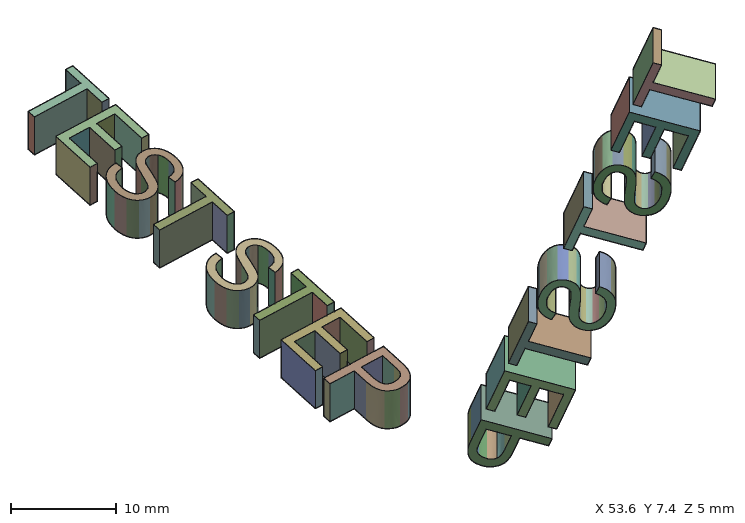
import cadquery as cq


LETTER_DEPTH = 5.0
CAP_HEIGHT = 7.15
OVERSHOOT = 0.125
STEM = 0.95
BAR = 0.85

T_WIDTH = 5.65
T_STEM_LEFT = 2.35

E_TOP_LENGTH = 5.15
E_MIDDLE_LENGTH = 4.9
E_BOTTOM_LENGTH = 5.3
E_MIDDLE_BASE = 3.25

P_WIDTH = 5.45
P_BOWL_BASE = 2.9
P_BOWL_START = 2.8
P_COUNTER_RIGHT = 4.45

S_TOP = CAP_HEIGHT + OVERSHOOT
S_BOTTOM = -OVERSHOOT
S_WIDTH = 5.7
S_UPPER_LEFT = 0.25
S_UPPER_INNER_LEFT = 1.2
S_UPPER_INNER_TOP = 6.45
S_LOWER_INNER_RIGHT = 4.75
S_LOWER_INNER_BOTTOM = 0.725

T_TO_E = 6.65
E_TO_S = 6.3
S_TO_T = 6.45
E_TO_P = 6.6
WORD_STEP = 9.05


def smooth_edge(outline, controls, end):
    """Continue an outline with quadratic curves that join midway between neighbouring controls."""
    joints = [
        ((x0 + x1) / 2, (y0 + y1) / 2)
        for (x0, y0), (x1, y1) in zip(controls, controls[1:])
    ]
    for control, joint in zip(controls, joints + [end]):
        outline = outline.bezier([control, joint], includeCurrent=True)
    return outline


def letter_t():
    """T: a stem under a full-width top bar."""
    top_bar_base = CAP_HEIGHT - BAR
    stem_right = T_STEM_LEFT + STEM
    return (
        cq.Workplane()
        .moveTo(T_STEM_LEFT, 0)
        .lineTo(stem_right, 0)
        .lineTo(stem_right, top_bar_base)
        .lineTo(T_WIDTH, top_bar_base)
        .lineTo(T_WIDTH, CAP_HEIGHT)
        .lineTo(0, CAP_HEIGHT)
        .lineTo(0, top_bar_base)
        .lineTo(T_STEM_LEFT, top_bar_base)
        .close()
        .extrude(LETTER_DEPTH)
    )


def letter_e():
    """E: a stem with three bars of different lengths."""
    body = cq.Workplane().rect(STEM, CAP_HEIGHT, centered=False).extrude(LETTER_DEPTH)
    bars = [
        (0, E_BOTTOM_LENGTH),
        (E_MIDDLE_BASE, E_MIDDLE_LENGTH),
        (CAP_HEIGHT - BAR, E_TOP_LENGTH),
    ]
    for base, length in bars:
        bar = cq.Workplane().box(length, BAR, LETTER_DEPTH, centered=False)
        body = body.union(bar.translate((0, base, 0)))
    return body


def letter_p():
    """P: a stem with a closed bowl and a through opening in the bowl."""
    outline = (
        cq.Workplane()
        .lineTo(0, CAP_HEIGHT)
        .lineTo(P_BOWL_START, CAP_HEIGHT)
    )
    outer_bowl = [
        (3.45, CAP_HEIGHT),
        (4.3, 6.95),
        (5.05, 6.5),
        (P_WIDTH, 5.65),
        (P_WIDTH, 4.2),
        (4.3, P_BOWL_BASE),
    ]
    outline = smooth_edge(outline, outer_bowl, (P_BOWL_START, P_BOWL_BASE))
    body = (
        outline
        .lineTo(STEM, P_BOWL_BASE)
        .lineTo(STEM, 0)
        .close()
        .extrude(LETTER_DEPTH)
    )

    counter_base = P_BOWL_BASE + BAR
    counter_top = CAP_HEIGHT - BAR
    counter = (
        cq.Workplane()
        .moveTo(STEM, counter_top)
        .lineTo(STEM, counter_base)
        .lineTo(P_BOWL_START, counter_base)
    )
    inner_bowl = [
        (3.7, counter_base),
        (P_COUNTER_RIGHT, 4.4),
        (P_COUNTER_RIGHT, 5.45),
        (4.0, 6.1),
        (3.45, counter_top),
    ]
    counter = smooth_edge(counter, inner_bowl, (P_BOWL_START, counter_top))
    return body.cut(counter.close().extrude(LETTER_DEPTH))


def letter_s():
    """S: a curved stroke between two flat ends, with outside and inside edges swapping at the spine."""
    lower_end_outer = (0, 2.3)
    lower_end_inner = (0.9, 2.35)
    upper_end_outer = (5.45, 5.15)
    upper_end_inner = (4.55, 5.05)
    lower_inner_to_upper_outer = [
        (0.95, 1.8),
        (1.4, 1.1),
        (2.4, S_LOWER_INNER_BOTTOM),
        (3.55, S_LOWER_INNER_BOTTOM),
        (4.35, 1.05),
        (S_LOWER_INNER_RIGHT, 1.6),
        (S_LOWER_INNER_RIGHT, 2.25),
        (4.4, 2.8),
        (3.65, 3.05),
        (1.65, 3.55),
        (0.75, 4.0),
        (S_UPPER_LEFT, 4.75),
        (S_UPPER_LEFT, 5.85),
        (0.85, 6.75),
        (2.05, S_TOP),
        (3.6, S_TOP),
        (4.75, 6.75),
        (5.4, 5.75),
    ]
    upper_inner_to_lower_outer = [
        (4.5, 5.75),
        (3.65, S_UPPER_INNER_TOP),
        (2.0, S_UPPER_INNER_TOP),
        (S_UPPER_INNER_LEFT, 5.8),
        (S_UPPER_INNER_LEFT, 5.0),
        (1.7, 4.45),
        (4.0, 3.95),
        (5.1, 3.5),
        (S_WIDTH, 2.55),
        (S_WIDTH, 1.45),
        (5.05, 0.45),
        (3.8, S_BOTTOM),
        (2.1, S_BOTTOM),
        (0.75, 0.45),
        (0, 1.55),
    ]
    outline = cq.Workplane().moveTo(*lower_end_outer).lineTo(*lower_end_inner)
    outline = smooth_edge(outline, lower_inner_to_upper_outer, upper_end_outer)
    outline = outline.lineTo(*upper_end_inner)
    outline = smooth_edge(outline, upper_inner_to_lower_outer, lower_end_outer)
    return outline.close().extrude(LETTER_DEPTH)


TEXT = [
    (letter_t, 0),
    (letter_e, T_TO_E),
    (letter_s, E_TO_S),
    (letter_t, S_TO_T),
    (letter_s, WORD_STEP),
    (letter_t, S_TO_T),
    (letter_e, T_TO_E),
    (letter_p, E_TO_P),
]

letters = []
left_side = 0
for make_letter, step in TEXT:
    left_side += step
    letters.append(make_letter().translate((left_side, 0, 0)).solids().val())

result = cq.Compound.makeCompound(letters)